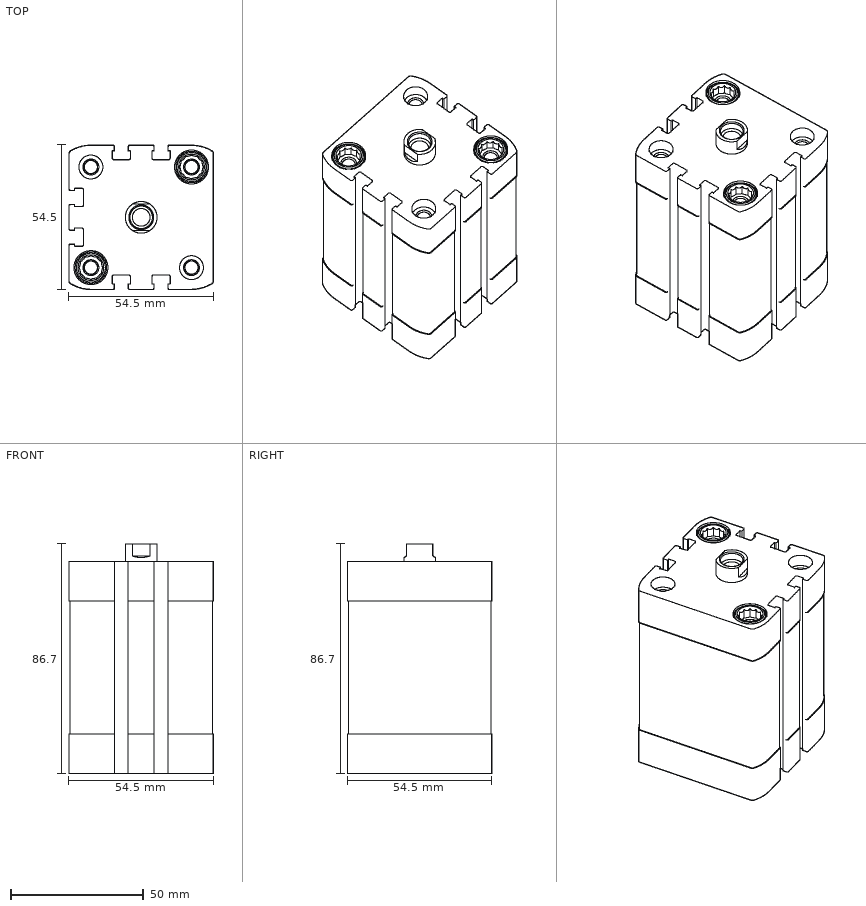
import cadquery as cq
import math

SIDE = 54.5
TOTAL_HEIGHT = 86.7
BODY_HEIGHT = 80.1
CAP_HEIGHT = 15.0
TUBE_STEP = 0.3
CORNER_ARC_RADIUS = 15.0
CORNER_EDGE_RADIUS = 1.2

SLOT_SPACING = 15.0
SLOT_MOUTH = 5.2
SLOT_WIDTH = 6.8
SLOT_DEPTH = 5.5
SLOT_LIP = 2.2
SLOT_EDGE_RADIUS = 0.5
SLOT_FLOOR_RADIUS = 0.5

HOLE_SPACING = 38.0
THROUGH_DIAMETER = 4.9
THROUGH_MOUTH_DIAMETER = 6.0
COUNTERBORE_DIAMETER = 9.0
COUNTERBORE_DEPTH = 4.8

GROOVE_DIAMETER = 12.8
HEAD_DIAMETER = 11.9
GROOVE_DEPTH = 1.0
HEAD_CHAMFER = 0.48
SOCKET_MOUTH_DIAMETER = 9.7
SOCKET_DIAMETER = 8.5
SOCKET_CONE_DEPTH = 1.5
SOCKET_POINTS = 12
SOCKET_POINT_DIAMETER = 9.0
SOCKET_POINT_HALF_ANGLE = 9.0

ROD_DIAMETER = 12.0
ROD_SEAT_DEPTH = CAP_HEIGHT
FLAT_SPACING = 10.0
FLAT_HEIGHT = 4.5
FLAT_RUNOUT = 0.6
BORE_MOUTH_DIAMETER = 9.4
BORE_DIAMETER = 8.5
BORE_DEPTH = 3.2
BORE_CONE_HEIGHT = 0.5
DRILL_DIAMETER = 6.7
DRILL_DEPTH = 12.0
DRILL_POINT_ANGLE = 118.0

HALF_SIDE = SIDE / 2
ARC_CENTRE_Y = HALF_SIDE - CORNER_ARC_RADIUS


def revolved(profile):
    """Solid of revolution about Z from (radius, height) points."""
    return cq.Workplane("XZ").polyline(profile).close().revolve(360, (0, 0, 0), (0, 1, 0))


def plain_section(inset, bottom, height):
    """Square length of the body with arc corners, its faces moved inwards by the inset."""
    half = HALF_SIDE - inset
    arc_radius = CORNER_ARC_RADIUS - inset
    arc_x = HOLE_SPACING / 2
    mid_angle = math.asin((half - arc_x) / arc_radius) / 2
    end_y = ARC_CENTRE_Y + math.sqrt(arc_radius**2 - (half - arc_x) ** 2)
    mid_x = arc_x + arc_radius * math.sin(mid_angle)
    mid_y = ARC_CENTRE_Y + arc_radius * math.cos(mid_angle)
    block = (
        cq.Workplane("XY", origin=(0, 0, bottom))
        .moveTo(-arc_x, half)
        .lineTo(arc_x, half)
        .threePointArc((mid_x, mid_y), (half, end_y))
        .lineTo(half, -end_y)
        .threePointArc((mid_x, -mid_y), (arc_x, -half))
        .lineTo(-arc_x, -half)
        .threePointArc((-mid_x, -mid_y), (-half, -end_y))
        .lineTo(-half, end_y)
        .threePointArc((-mid_x, mid_y), (-arc_x, half))
        .close()
        .extrude(height)
    )
    corners = [(sx * half, sy * end_y, bottom + height / 2) for sx in (-1, 1) for sy in (-1, 1)]
    for corner in corners:
        block = block.edges(cq.selectors.NearestToPointSelector(corner)).fillet(CORNER_EDGE_RADIUS - inset)
    return block


def slot(inset, bottom, height):
    """Cutter for a T-slot in the +Y side at X = 0, its mouth edges rounded where they meet the inset face."""
    face = HALF_SIDE - inset
    half_mouth = SLOT_MOUTH / 2
    half_width = SLOT_WIDTH / 2
    radius = SLOT_EDGE_RADIUS
    flare = radius * (1 - math.sqrt(0.5))
    cutter = (
        cq.Workplane("XY", origin=(0, 0, bottom))
        .moveTo(-half_mouth - radius, face)
        .threePointArc((-half_mouth - flare, face - flare), (-half_mouth, face - radius))
        .lineTo(-half_mouth, HALF_SIDE - SLOT_LIP)
        .lineTo(-half_width, HALF_SIDE - SLOT_LIP)
        .lineTo(-half_width, HALF_SIDE - SLOT_DEPTH)
        .lineTo(half_width, HALF_SIDE - SLOT_DEPTH)
        .lineTo(half_width, HALF_SIDE - SLOT_LIP)
        .lineTo(half_mouth, HALF_SIDE - SLOT_LIP)
        .lineTo(half_mouth, face - radius)
        .threePointArc((half_mouth + flare, face - flare), (half_mouth + radius, face))
        .close()
        .extrude(height)
    )
    return cutter.faces("<Y").edges("|Z").fillet(SLOT_FLOOR_RADIUS)


def slotted_section(inset, bottom, height):
    """Length of the body with two slots in each of the +Y, -X and -Y sides."""
    section = plain_section(inset, bottom, height)
    for turn in (0, 90, 180):
        for x in (-SLOT_SPACING / 2, SLOT_SPACING / 2):
            cutter = slot(inset, bottom, height).translate((x, 0, 0))
            section = section.cut(cutter.rotate((0, 0, 0), (0, 0, 1), turn))
    return section


def through_hole():
    """Hole through the whole body, widening in a short cone up to the counterbore floor."""
    radius = THROUGH_DIAMETER / 2
    mouth_radius = THROUGH_MOUTH_DIAMETER / 2
    floor = BODY_HEIGHT - COUNTERBORE_DEPTH
    return revolved(
        [(0, 0), (radius, 0), (radius, floor - (mouth_radius - radius)), (mouth_radius, floor), (0, floor)]
    )


def counterbore():
    """Flat-bottomed cutter for the wide top of a corner hole without a screw head."""
    start = cq.Workplane("XY", origin=(0, 0, BODY_HEIGHT))
    return start.circle(COUNTERBORE_DIAMETER / 2).extrude(-COUNTERBORE_DEPTH)


def head_groove():
    """Ring-shaped groove around a screw head, chamfered on the head's side."""
    inner = HEAD_DIAMETER / 2
    outer = GROOVE_DIAMETER / 2
    top = BODY_HEIGHT
    return revolved(
        [
            (inner - HEAD_CHAMFER, top),
            (outer, top),
            (outer, top - GROOVE_DEPTH),
            (inner, top - GROOVE_DEPTH),
            (inner, top - HEAD_CHAMFER),
        ]
    )


def head_socket():
    """Twelve-point socket with a conical mouth."""
    radius = SOCKET_DIAMETER / 2
    top = BODY_HEIGHT
    floor = top - COUNTERBORE_DEPTH
    cone_end = top - SOCKET_CONE_DEPTH
    socket = revolved(
        [(0, floor), (radius, floor), (radius, cone_end), (SOCKET_MOUTH_DIAMETER / 2, top), (0, top)]
    )
    point_top = cone_end + SOCKET_CONE_DEPTH / 2
    half_angle = math.radians(SOCKET_POINT_HALF_ANGLE)
    root_x = radius * math.cos(half_angle)
    root_y = radius * math.sin(half_angle)
    point = (
        cq.Workplane("XY", origin=(0, 0, floor))
        .polyline([(0, 0), (root_x, -root_y), (SOCKET_POINT_DIAMETER / 2, 0), (root_x, root_y)])
        .close()
        .extrude(point_top - floor)
    )
    for number in range(SOCKET_POINTS):
        socket = socket.union(point.rotate((0, 0, 0), (0, 0, 1), number * 360 / SOCKET_POINTS))
    return socket


def make_housing():
    tube_height = BODY_HEIGHT - 2 * CAP_HEIGHT
    housing = slotted_section(0, 0, CAP_HEIGHT)
    housing = housing.union(slotted_section(TUBE_STEP, CAP_HEIGHT, tube_height))
    housing = housing.union(slotted_section(0, CAP_HEIGHT + tube_height, CAP_HEIGHT))
    for sx in (-1, 1):
        for sy in (-1, 1):
            place = (sx * HOLE_SPACING / 2, sy * HOLE_SPACING / 2, 0)
            housing = housing.cut(through_hole().translate(place))
            has_screw_head = sx == sy
            if has_screw_head:
                housing = housing.cut(head_groove().translate(place))
                housing = housing.cut(head_socket().translate(place))
            else:
                housing = housing.cut(counterbore().translate(place))
    top_face = cq.Workplane("XY", origin=(0, 0, BODY_HEIGHT))
    return housing.cut(top_face.circle(ROD_DIAMETER / 2).extrude(-ROD_SEAT_DEPTH))


def rod_bore():
    """Stepped bore in the rod end: chamfered mouth, wide bore, cone, drilled hole with its point."""
    mouth = BORE_MOUTH_DIAMETER / 2
    wide = BORE_DIAMETER / 2
    narrow = DRILL_DIAMETER / 2
    top = TOTAL_HEIGHT
    point_height = narrow / math.tan(math.radians(DRILL_POINT_ANGLE / 2))
    return revolved(
        [
            (0, top),
            (mouth, top),
            (wide, top - (mouth - wide)),
            (wide, top - BORE_DEPTH),
            (narrow, top - BORE_DEPTH - BORE_CONE_HEIGHT),
            (narrow, top - DRILL_DEPTH),
            (0, top - DRILL_DEPTH - point_height),
        ]
    )


def rod_flat():
    """Cutter for the wrench flat on the +Y side, its floor sloping down outwards."""
    flat = FLAT_SPACING / 2
    edge = ROD_DIAMETER / 2
    floor = TOTAL_HEIGHT - FLAT_HEIGHT
    return (
        cq.Workplane("YZ")
        .polyline([(flat, TOTAL_HEIGHT), (edge, TOTAL_HEIGHT), (edge, floor - FLAT_RUNOUT), (flat, floor)])
        .close()
        .extrude(edge, both=True)
    )


def make_rod():
    bottom = BODY_HEIGHT - ROD_SEAT_DEPTH
    rod = cq.Workplane("XY", origin=(0, 0, bottom)).circle(ROD_DIAMETER / 2).extrude(TOTAL_HEIGHT - bottom)
    rod = rod.cut(rod_flat()).cut(rod_flat().mirror("XZ"))
    return rod.cut(rod_bore())


housing = make_housing()
piston_rod = make_rod()
result = cq.Compound.makeCompound([housing.val(), piston_rod.val()])